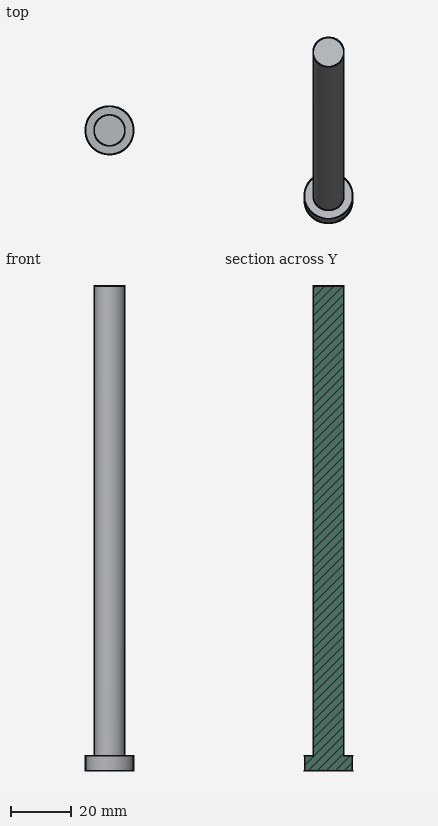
import cadquery as cq

overall_length = 160.0
head_diameter = 16.0
head_height = 5.0
shaft_diameter = 10.2


def make_head():
    """Flat round head resting on the XY plane."""
    return cq.Workplane("XY").circle(head_diameter / 2).extrude(head_height)


def add_shaft(head):
    """Plain cylindrical shaft rising from the top of the head."""
    shaft_length = overall_length - head_height
    return head.faces(">Z").workplane().circle(shaft_diameter / 2).extrude(shaft_length)


result = add_shaft(make_head())